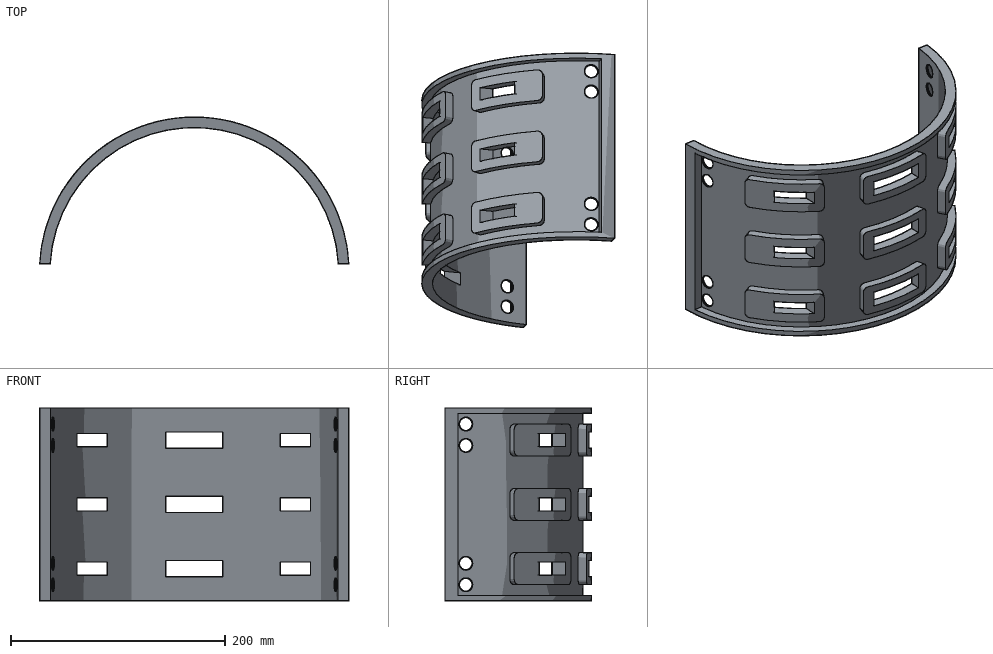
import cadquery as cq
import math

HEIGHT = 180.0
OUTER_RADIUS = 144.585
WALL = 10.0
END_FACE_Y = 7.5

RECESS_DEPTH = 8.0
RIM_HEIGHT = 5.0
RIM_WIDTH = 12.5

PAD_HEIGHT = 30.0
PAD_SPAN_ANGLE = 30.0
PAD_CORNER_RADIUS = 5.0
PAD_PITCH = 60.0
PAD_ROWS = 3
CENTER_PAD_ANGLE = 90.0
SIDE_PAD_OFFSET_ANGLE = 45.0

CENTER_SLOT_WIDTH = 53.0
CENTER_SLOT_HEIGHT = 15.0
SIDE_SLOT_WIDTH = 28.0
SIDE_SLOT_HEIGHT = 12.0
SIDE_SLOT_CENTERS_X = (-95.4, 94.4)

HOLE_DIAMETER = 12.0
HOLE_CHAMFER = 0.5
HOLE_ANGLE = 11.5
HOLE_FROM_SHELL_EDGE = 15.0
HOLE_PITCH = 20.0

INNER_RADIUS = OUTER_RADIUS - WALL
FLOOR_RADIUS = OUTER_RADIUS - RECESS_DEPTH
RECESS_END_Y = END_FACE_Y + RIM_WIDTH
ROW_HEIGHTS = [HEIGHT / 2 + (row - (PAD_ROWS - 1) / 2) * PAD_PITCH for row in range(PAD_ROWS)]


def half_ring(inner_radius, outer_radius, start_y, bottom, top):
    """Part of a ring lying beyond the plane y = start_y, between two heights."""
    ring = (
        cq.Workplane("XY", origin=(0, 0, bottom))
        .circle(outer_radius)
        .circle(inner_radius)
        .extrude(top - bottom)
    )
    keep = (
        cq.Workplane("XY", origin=(0, start_y, bottom))
        .rect(2 * outer_radius, 2 * outer_radius)
        .extrude(top - bottom)
        .translate((0, outer_radius, 0))
    )
    return ring.intersect(keep)


def pad(center_angle, center_z):
    """Ring sector with radial ends and rounded corners, standing on the shell wall."""
    start = math.radians(center_angle - PAD_SPAN_ANGLE / 2)
    middle = math.radians(center_angle)
    end = math.radians(center_angle + PAD_SPAN_ANGLE / 2)
    root_radius = (INNER_RADIUS + FLOOR_RADIUS) / 2

    def at(radius, angle):
        return (radius * math.cos(angle), radius * math.sin(angle))

    sector = (
        cq.Workplane("XY", origin=(0, 0, center_z - PAD_HEIGHT / 2))
        .moveTo(*at(root_radius, start))
        .lineTo(*at(OUTER_RADIUS, start))
        .threePointArc(at(OUTER_RADIUS, middle), at(OUTER_RADIUS, end))
        .lineTo(*at(root_radius, end))
        .threePointArc(at(root_radius, middle), at(root_radius, start))
        .close()
        .extrude(PAD_HEIGHT)
    )
    return sector.edges("%LINE").edges("#Z").fillet(PAD_CORNER_RADIUS)


def slot(center_x, center_z, width, height):
    """Rectangular cutter running along +Y from the axis plane past the shell."""
    return cq.Workplane("XY").box(width, OUTER_RADIUS, height).translate(
        (center_x, END_FACE_Y + OUTER_RADIUS / 2, center_z)
    )


def drill_bolt_holes(body):
    """Drill both sides of the shell near the bottom and the top, and chamfer both hole mouths."""
    low = [HOLE_FROM_SHELL_EDGE, HOLE_FROM_SHELL_EDGE + HOLE_PITCH]
    high = [HEIGHT - z for z in low]
    drill = (
        cq.Workplane("YZ")
        .pushPoints([(0, z) for z in low + high])
        .circle(HOLE_DIAMETER / 2)
        .extrude(OUTER_RADIUS)
    )
    axis = ((0, 0, 0), (0, 0, 1))
    drills = drill.rotate(*axis, HOLE_ANGLE).union(drill.rotate(*axis, 180 - HOLE_ANGLE))
    center_y = FLOOR_RADIUS * math.sin(math.radians(HOLE_ANGLE))
    around_holes = cq.selectors.BoxSelector(
        (-OUTER_RADIUS, center_y - HOLE_DIAMETER / 2, 0),
        (OUTER_RADIUS, center_y + HOLE_DIAMETER / 2, HEIGHT),
    )
    return body.cut(drills).edges(around_holes).edges("not %LINE").chamfer(HOLE_CHAMFER)


shell = half_ring(INNER_RADIUS, OUTER_RADIUS, END_FACE_Y, 0, HEIGHT)
recess = half_ring(FLOOR_RADIUS, OUTER_RADIUS, RECESS_END_Y, RIM_HEIGHT, HEIGHT - RIM_HEIGHT)
result = drill_bolt_holes(shell.cut(recess))

for row_z in ROW_HEIGHTS:
    for column in (-1, 0, 1):
        result = result.union(pad(CENTER_PAD_ANGLE + column * SIDE_PAD_OFFSET_ANGLE, row_z))

for row_z in ROW_HEIGHTS:
    result = result.cut(slot(0, row_z, CENTER_SLOT_WIDTH, CENTER_SLOT_HEIGHT))
    for slot_x in SIDE_SLOT_CENTERS_X:
        result = result.cut(slot(slot_x, row_z, SIDE_SLOT_WIDTH, SIDE_SLOT_HEIGHT))